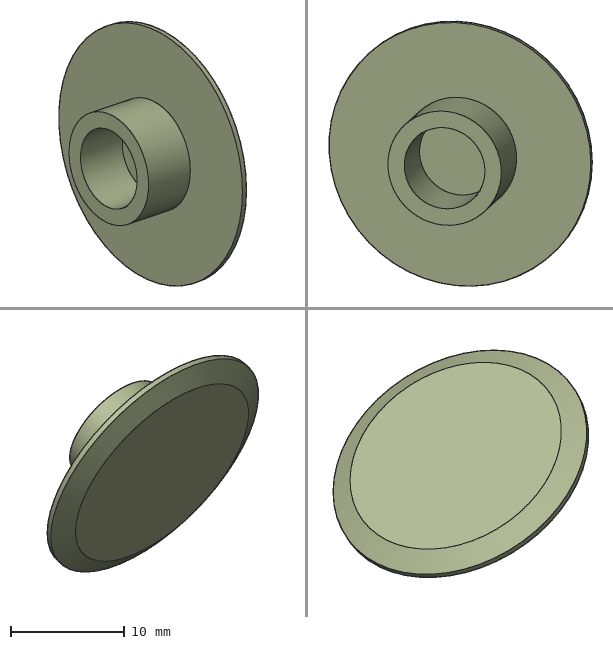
import cadquery as cq

flange_diameter = 24.0
back_face_diameter = 20.0
boss_diameter = 10.4
bore_diameter = 7.4
total_length = 6.5
boss_length = 5.0
rim_thickness = 0.5
bore_depth = boss_length

boss_end_y = -boss_length
rim_back_y = rim_thickness
back_face_y = total_length - boss_length

body = (
    cq.Workplane("XY")
    .moveTo(0, boss_end_y)
    .lineTo(boss_diameter / 2, boss_end_y)
    .lineTo(boss_diameter / 2, 0)
    .lineTo(flange_diameter / 2, 0)
    .lineTo(flange_diameter / 2, rim_back_y)
    .lineTo(back_face_diameter / 2, back_face_y)
    .lineTo(0, back_face_y)
    .close()
    .revolve(360, (0, 0, 0), (0, 1, 0))
)

bore = (
    cq.Workplane("XZ", origin=(0, boss_end_y, 0))
    .circle(bore_diameter / 2)
    .extrude(-bore_depth)
)

result = body.cut(bore)